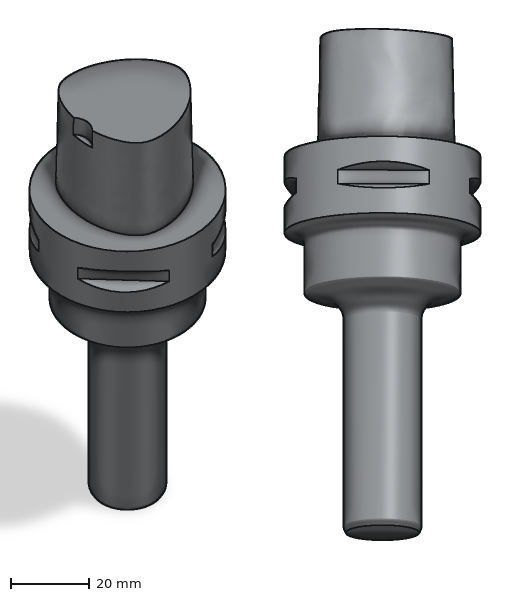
import cadquery as cq
import math

TOTAL_HEIGHT = 128.0
TAPER_HEIGHT = 30.0
FLANGE_HEIGHT = 20.0
FLANGE_TOP = TOTAL_HEIGHT - TAPER_HEIGHT
FLANGE_BOTTOM = FLANGE_TOP - FLANGE_HEIGHT
NECK_BOTTOM = 62.1

FLANGE_RADIUS = 50.0 / 2
NECK_RADIUS = 40.0 / 2
SHANK_RADIUS = 20.0 / 2
SHOULDER_SLOPE = math.radians(10)
FLANGE_FILLET = 2.7
NECK_FILLET = 5.6
NECK_EDGE_ROUND = 0.6
SHANK_CHAMFER_HEIGHT = 1.2
SHANK_CHAMFER_DEPTH = 0.6
SHANK_EDGE_ROUND = 1.8

LOBE_HEIGHT = 1.3
TAPER_BASE_RADIUS = 17.5
TAPER_RATIO = 1 / 45
TAPER_TOP_RADIUS = TAPER_BASE_RADIUS - TAPER_HEIGHT * TAPER_RATIO
OUTLINE_POINTS = 60

NOTCH_RADIUS = 5.0
NOTCH_HEIGHT = 5.5
NOTCH_DEPTH = 1.7

SLOT_COUNT = 4
SLOT_FIRST_ANGLE = 45
SLOT_FLOOR_DISTANCE = 22.1
SLOT_FLOOR_HEIGHT = 3.6
SLOT_CENTRE = FLANGE_TOP - FLANGE_HEIGHT / 2
SLOT_WALL_SLOPE = math.radians(30)
CUT_CLEARANCE = 1.3


def shoulder(profile, outer_radius, outer_z, inner_radius, fillet):
    """Add a sloping shoulder blended by an arc into the vertical wall below it."""
    arc_start_r = inner_radius + fillet * (1 - math.sin(SHOULDER_SLOPE))
    arc_start_z = outer_z - (outer_radius - arc_start_r) * math.tan(SHOULDER_SLOPE)
    centre_r = inner_radius + fillet
    centre_z = arc_start_z - fillet * math.cos(SHOULDER_SLOPE)
    middle_angle = (math.pi / 2 + SHOULDER_SLOPE + math.pi) / 2
    arc_middle = (
        centre_r + fillet * math.cos(middle_angle),
        centre_z + fillet * math.sin(middle_angle),
    )
    return (
        profile.lineTo(outer_radius, outer_z)
        .lineTo(arc_start_r, arc_start_z)
        .threePointArc(arc_middle, (inner_radius, centre_z))
    )


def round_edge(body, height, radius):
    """Round the circular edge of the turned body at the given height."""
    tolerance = 0.1
    edge = cq.selectors.BoxSelector(
        (-FLANGE_RADIUS, -FLANGE_RADIUS, height - tolerance),
        (FLANGE_RADIUS, FLANGE_RADIUS, height + tolerance),
    )
    return body.edges(edge).edges("%CIRCLE").fillet(radius)


def turned_body():
    profile = cq.Workplane("XZ").moveTo(0, FLANGE_TOP).lineTo(FLANGE_RADIUS, FLANGE_TOP)
    profile = shoulder(profile, FLANGE_RADIUS, FLANGE_BOTTOM, NECK_RADIUS, FLANGE_FILLET)
    profile = shoulder(profile, NECK_RADIUS, NECK_BOTTOM, SHANK_RADIUS, NECK_FILLET)
    profile = (
        profile.lineTo(SHANK_RADIUS, SHANK_CHAMFER_HEIGHT)
        .lineTo(SHANK_RADIUS - SHANK_CHAMFER_DEPTH, 0)
        .lineTo(0, 0)
        .close()
    )
    body = profile.revolve(360, (0, 0), (0, 1))
    body = round_edge(body, NECK_BOTTOM, NECK_EDGE_ROUND)
    return round_edge(body, SHANK_CHAMFER_HEIGHT, SHANK_EDGE_ROUND)


def lobed_point(mean_radius, angle):
    """Point of the constant-width outline, with one lobe toward +Y."""
    reach = mean_radius + LOBE_HEIGHT * math.cos(3 * angle)
    slide = -3 * LOBE_HEIGHT * math.sin(3 * angle)
    x = reach * math.sin(angle) + slide * math.cos(angle)
    y = reach * math.cos(angle) - slide * math.sin(angle)
    return (x, y)


def lobed_outline(mean_radius):
    step = 2 * math.pi / OUTLINE_POINTS
    return [lobed_point(mean_radius, i * step) for i in range(OUTLINE_POINTS)]


def taper():
    return (
        cq.Workplane("XY", origin=(0, 0, FLANGE_TOP))
        .spline(lobed_outline(TAPER_BASE_RADIUS), periodic=True)
        .close()
        .workplane(offset=TAPER_HEIGHT)
        .spline(lobed_outline(TAPER_TOP_RADIUS), periodic=True)
        .close()
        .loft(ruled=True)
    )


def notch():
    flat_side_y = -(TAPER_TOP_RADIUS - LOBE_HEIGHT)
    centre_y = flat_side_y + NOTCH_DEPTH - NOTCH_RADIUS
    return (
        cq.Workplane("XY", origin=(0, centre_y, TOTAL_HEIGHT - NOTCH_HEIGHT))
        .circle(NOTCH_RADIUS)
        .extrude(NOTCH_HEIGHT + CUT_CLEARANCE)
    )


def gripping_slot(angle):
    """Straight slot with a flat floor and walls that open outward."""
    outer = FLANGE_RADIUS + CUT_CLEARANCE
    half_floor = SLOT_FLOOR_HEIGHT / 2
    half_mouth = half_floor + (outer - SLOT_FLOOR_DISTANCE) * math.tan(SLOT_WALL_SLOPE)
    return (
        cq.Workplane("XZ")
        .moveTo(SLOT_FLOOR_DISTANCE, SLOT_CENTRE - half_floor)
        .lineTo(outer, SLOT_CENTRE - half_mouth)
        .lineTo(outer, SLOT_CENTRE + half_mouth)
        .lineTo(SLOT_FLOOR_DISTANCE, SLOT_CENTRE + half_floor)
        .close()
        .extrude(FLANGE_RADIUS, both=True)
        .rotate((0, 0, 0), (0, 0, 1), angle)
    )


result = turned_body().union(taper().cut(notch()))
for index in range(SLOT_COUNT):
    slot_angle = SLOT_FIRST_ANGLE + index * 360 / SLOT_COUNT
    result = result.cut(gripping_slot(slot_angle))